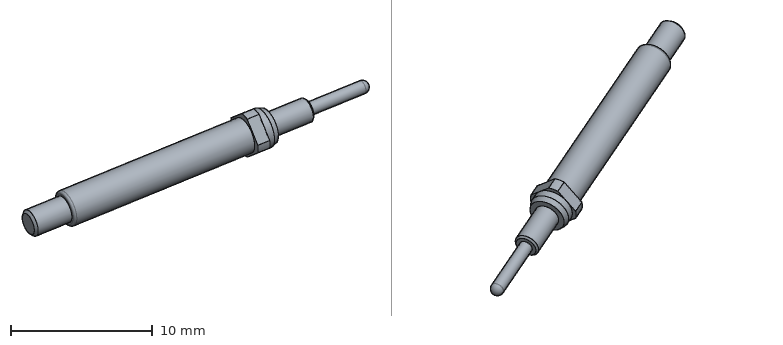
import cadquery as cq


barrel_length = 15.0
tail_length = 3.0
flange_thickness = 1.0
collar_length = 1.0
plunger_length = 3.3
pin_length = 5.0

barrel_diameter = 2.7
tail_diameter = 2.0
collar_diameter = 3.0
plunger_diameter = 1.85
pin_diameter = 1.0

flange_across_flats = 3.0
flange_corner_diameter = 3.6
flange_turn = 45

tail_chamfer = 0.2
barrel_fillet = 0.2
plunger_chamfer = 0.15
collar_taper_length = 0.42
collar_top_diameter = barrel_diameter

tail_start = -barrel_length
collar_start = flange_thickness
plunger_start = collar_start + collar_length
pin_start = plunger_start + plunger_length


def rod(start, length, diameter):
    """Cylinder on the Y axis running from start toward +Y."""
    plane = cq.Workplane("XZ", origin=(0, start, 0))
    return plane.circle(diameter / 2).extrude(-length)


def make_tail():
    tail = rod(tail_start - tail_length, tail_length, tail_diameter)
    return tail.faces("<Y").chamfer(tail_chamfer)


def make_barrel():
    barrel = rod(tail_start, barrel_length, barrel_diameter)
    return barrel.faces("<Y").edges().fillet(barrel_fillet)


def make_flange():
    square = (
        cq.Workplane("XZ")
        .transformed(rotate=(0, 0, flange_turn))
        .rect(flange_across_flats, flange_across_flats)
        .extrude(-flange_thickness)
    )
    return square.intersect(rod(0, flange_thickness, flange_corner_diameter))


def make_collar():
    """Collar whose upper rim narrows in a short cone."""
    collar_end = collar_start + collar_length
    profile = [
        (0, collar_start),
        (collar_diameter / 2, collar_start),
        (collar_diameter / 2, collar_end - collar_taper_length),
        (collar_top_diameter / 2, collar_end),
        (0, collar_end),
    ]
    return cq.Workplane("XY").polyline(profile).close().revolve(360, (0, 0), (0, 1))


def make_plunger():
    plunger = rod(plunger_start, plunger_length, plunger_diameter)
    return plunger.faces(">Y").chamfer(plunger_chamfer)


def make_pin():
    """Pin with a hemispherical tip."""
    tip_radius = pin_diameter / 2
    shank_length = pin_length - tip_radius
    shank = rod(pin_start, shank_length, pin_diameter)
    tip = cq.Workplane("XY").sphere(tip_radius).translate((0, pin_start + shank_length, 0))
    return shank.union(tip)


result = (
    make_barrel()
    .union(make_tail())
    .union(make_flange())
    .union(make_collar())
    .union(make_plunger())
    .union(make_pin())
)